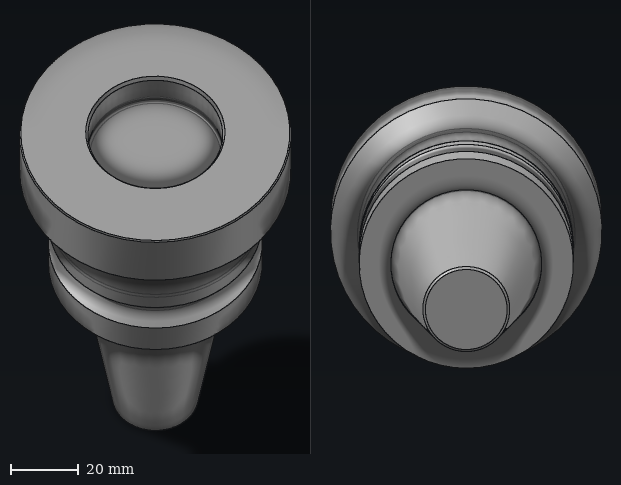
import cadquery as cq
import math


total_length = 131.4
gauge_height = 65.2
flange_bottom = 66.4
lower_flange_top = 77.0
upper_flange_bottom = 87.1
flange_top = 93.3
head_bottom = 112.2

head_radius = 80.0 / 2
neck_radius = 31.3
flange_radius = 31.5
groove_radius = 26.5
gauge_radius = 22.2
bore_radius = 19.8

taper_ratio = 7 / 24
cone_slope = math.tan(math.radians(30))
tip_chamfer = 0.7
head_chamfer = 0.4
flange_chamfer = 1.0
groove_fillet = 1.0
neck_fillet = 1.6

bore_depth = 11.8
mouth_bevel_width = 0.7
mouth_bevel_slope = math.tan(math.radians(60))
undercut_width = 2.5
undercut_depth = 0.3
undercut_slope = math.tan(math.radians(15))
undercut_fillet = 0.8

tip_radius = gauge_radius - gauge_height * taper_ratio / 2
groove_floor_bottom = lower_flange_top + (flange_radius - groove_radius) * cone_slope
groove_floor_top = upper_flange_bottom - (flange_radius - groove_radius) * cone_slope
neck_top = head_bottom - (head_radius - neck_radius) * cone_slope


def holder_body():
    outline = [
        (0, 0),
        (tip_radius, 0),
        (gauge_radius, gauge_height),
        (gauge_radius, flange_bottom),
        (flange_radius, flange_bottom),
        (flange_radius, lower_flange_top),
        (groove_radius, groove_floor_bottom),
        (groove_radius, groove_floor_top),
        (flange_radius, upper_flange_bottom),
        (flange_radius, flange_top - flange_chamfer),
        (neck_radius, flange_top),
        (neck_radius, neck_top),
        (head_radius, head_bottom),
        (head_radius, total_length),
        (0, total_length),
    ]
    body = cq.Workplane("XZ").polyline(outline).close().revolve()
    body = body.faces("<Z").edges().chamfer(tip_chamfer)
    return body.faces(">Z").edges().chamfer(head_chamfer)


def ring_at(height):
    """Selects the circular edge of the body lying at the given height."""
    reach = 2 * head_radius
    tolerance = 0.01
    return cq.selectors.BoxSelector(
        (-reach, -reach, height - tolerance),
        (reach, reach, height + tolerance),
        boundingbox=True,
    )


def bore():
    floor_height = total_length - bore_depth
    undercut_top = floor_height + undercut_width
    undercut_radius = bore_radius + undercut_depth
    corner_offset = undercut_fillet * (1 - math.sqrt(0.5))
    return (
        cq.Workplane("XZ")
        .moveTo(0, total_length)
        .lineTo(bore_radius + mouth_bevel_width, total_length)
        .lineTo(bore_radius, total_length - mouth_bevel_width * mouth_bevel_slope)
        .lineTo(bore_radius, undercut_top)
        .lineTo(undercut_radius, undercut_top - undercut_depth / undercut_slope)
        .lineTo(undercut_radius, floor_height + undercut_fillet)
        .threePointArc(
            (undercut_radius - corner_offset, floor_height + corner_offset),
            (undercut_radius - undercut_fillet, floor_height),
        )
        .lineTo(0, floor_height)
        .close()
        .revolve()
    )


holder = holder_body()
for height in (groove_floor_bottom, groove_floor_top):
    holder = holder.edges(ring_at(height)).fillet(groove_fillet)
holder = holder.edges(ring_at(neck_top)).fillet(neck_fillet)

result = holder.cut(bore())